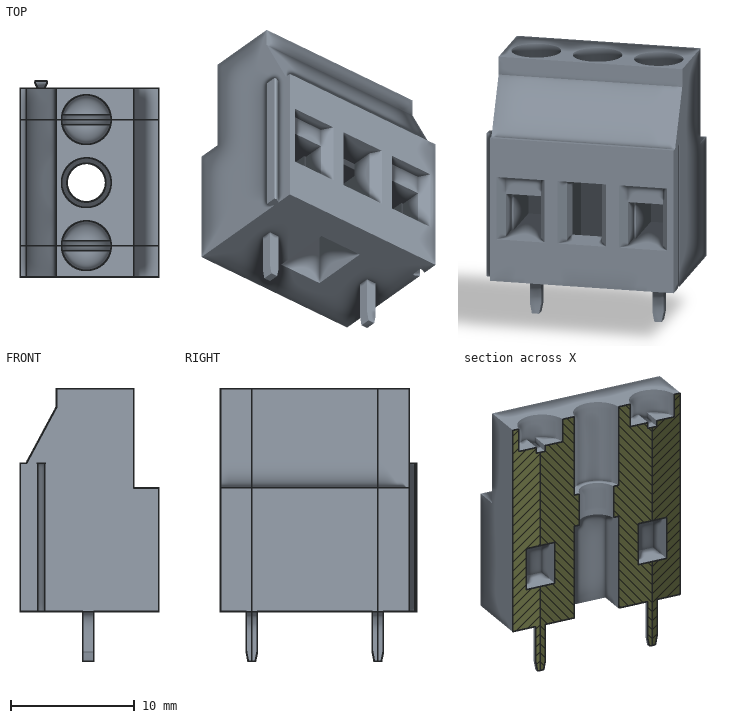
import cadquery as cq


length = 11.2
height = 18.0
shoulder_height = 12.0
shoulder_depth = 0.5
slope_top_height = 16.5
top_front = 2.93
top_back = 9.17
rear_step_height = 9.99

pitch = 5.08
pole_count = 3
half_width = pole_count * pitch / 2

bore_x = 5.35
bore_diameter = 4.0
screw_head_depth = 2.0
screw_slot_width = 0.8
screw_slot_depth = 0.5
ledge_height = 11.0
through_diameter = 3.1

entry_bottom = 3.52
entry_top = 8.75
entry_width = 4.0
funnel_depth = 0.9
passage_width = 2.9
passage_end = 2.8
clamp_passage_top = 7.13
clamp_width = 2.55

chamber_top = 8.18
chamber_width = 4.0
chamber_back = 2 * bore_x - passage_end

pin_x = 5.5
pin_width = 0.9
pin_length = 4.0
pin_tip_length = 0.8
pin_tip_width = 0.6

dovetail_x = 1.7
dovetail_depth = 0.6
dovetail_neck = 0.57
dovetail_wide = 1.01
dovetail_end = 0.92
dovetail_wide_at = 0.45


def box(x_from, x_to, y_center, y_width, z_from, z_to):
    """Box between two X and two Z limits, centred on y_center."""
    size = (x_to - x_from, y_width, z_to - z_from)
    corner = (x_from, y_center - y_width / 2, z_from)
    return cq.Workplane("XY").box(*size, centered=False).translate(corner)


def bore(y, diameter, z_from, z_to):
    """Vertical cylinder on the screw axis of the pole at y."""
    base = cq.Workplane("XY", origin=(bore_x, y, z_from))
    return base.circle(diameter / 2).extrude(z_to - z_from)


def housing_slab(y_from, y_to):
    """Plain housing profile between two Y planes."""
    profile = [
        (0, 0),
        (length, 0),
        (length, rear_step_height),
        (top_back, rear_step_height),
        (top_back, height),
        (top_front, height),
        (top_front, slope_top_height),
        (shoulder_depth, shoulder_height),
        (0, shoulder_height),
    ]
    plane = cq.Workplane("XZ", origin=(0, y_to, 0))
    return plane.polyline(profile).close().extrude(y_to - y_from)


def entry_funnel(y):
    """Mouth of a wire entry, narrowing in Y from the front face inwards."""
    mouth = [
        (0, y - entry_width / 2),
        (funnel_depth, y - passage_width / 2),
        (funnel_depth, y + passage_width / 2),
        (0, y + entry_width / 2),
    ]
    plane = cq.Workplane("XY", origin=(0, 0, entry_bottom))
    return plane.polyline(mouth).close().extrude(entry_top - entry_bottom)


def fitted_pole_void(y):
    """Everything removed at a pole that has a screw: bore, slot and wire entry."""
    screw_top = height - screw_head_depth
    slot_bottom = screw_top - screw_slot_depth
    head = bore(y, bore_diameter, slot_bottom, screw_top)
    head = head.cut(box(0, length, y, screw_slot_width, slot_bottom, screw_top))
    passage = box(funnel_depth, passage_end, y, passage_width, entry_bottom, clamp_passage_top)
    clamp = box(passage_end, chamber_back, y, clamp_width, entry_bottom, clamp_passage_top)
    void = bore(y, bore_diameter, slot_bottom, height).cut(head)
    return void.union(entry_funnel(y)).union(passage).union(clamp)


def empty_pole_void(y):
    """Everything removed at a pole without a screw: stepped bore, entry and chamber."""
    passage = box(funnel_depth, passage_end, y, passage_width, entry_bottom, entry_top)
    chamber = box(passage_end, chamber_back, y, chamber_width, 0, chamber_top)
    void = bore(y, bore_diameter, ledge_height, height)
    void = void.union(bore(y, through_diameter, chamber_top, ledge_height))
    return void.union(entry_funnel(y)).union(passage).union(chamber)


def pin(y):
    """Square solder pin below the housing, tapered in Y at its tip."""
    taper_start = pin_tip_length - pin_length
    profile = [
        (y - pin_width / 2, 0),
        (y - pin_width / 2, taper_start),
        (y - pin_tip_width / 2, -pin_length),
        (y + pin_tip_width / 2, -pin_length),
        (y + pin_width / 2, taper_start),
        (y + pin_width / 2, 0),
    ]
    plane = cq.Workplane("YZ", origin=(pin_x - pin_width / 2, 0, 0))
    return plane.polyline(profile).close().extrude(pin_width)


def dovetail(y_face):
    """Dovetail bar standing on the plane y_face towards +Y, up to the shoulder."""
    right_side = [
        (dovetail_neck / 2, 0),
        (dovetail_wide / 2, dovetail_wide_at),
        (dovetail_end / 2, dovetail_depth),
    ]
    left_side = [(-x, y) for x, y in reversed(right_side)]
    plane = cq.Workplane("XY", origin=(dovetail_x, y_face, 0))
    return plane.polyline(right_side + left_side).close().extrude(shoulder_height)


def section(y_from, y_to):
    """Housing between two Y planes with its share of each screw pole and pin."""
    body = housing_slab(y_from, y_to)
    limits = box(0, length, (y_from + y_to) / 2, y_to - y_from, -pin_length, 0)
    for y in (-pitch, pitch):
        if y_from <= y <= y_to:
            body = body.cut(fitted_pole_void(y))
            body = body.union(pin(y).intersect(limits))
    return body


def rail_end_section():
    """End section at +Y, with the dovetail rail on its outer side."""
    return section(pitch, half_width).union(dovetail(half_width))


def middle_section():
    """Section between the two screw planes, around the empty pole."""
    return section(-pitch, pitch).cut(empty_pole_void(0))


def groove_end_section():
    """End section at -Y, with the groove that takes a neighbour's rail."""
    return section(-half_width, -pitch).cut(dovetail(-half_width))


rail_end = rail_end_section()
middle = middle_section()
groove_end = groove_end_section()

bodies = (rail_end, middle, groove_end)
result = cq.Compound.makeCompound([body.solids().val() for body in bodies])